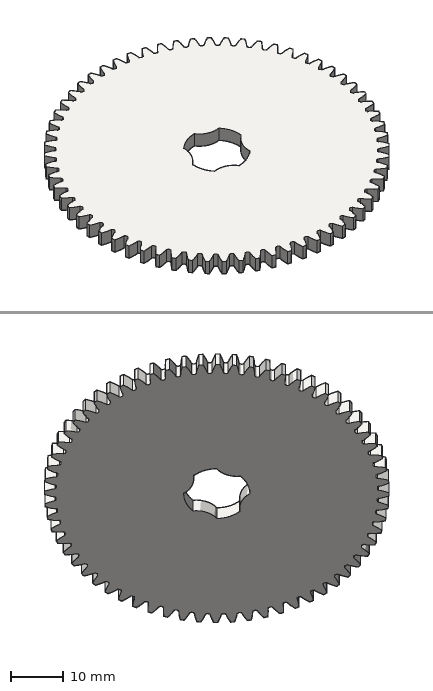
import cadquery as cq
import math

OUTER_DIAMETER = 66.0
THICKNESS = 3.1

TOOTH_COUNT = 64
PRESSURE_ANGLE = math.radians(20)
ADDENDUM_FACTOR = 1.0
DEDENDUM_FACTOR = 1.25
FLANK_DEPTH_FACTOR = 1.0
FLANK_POINTS = 5

MODULE = OUTER_DIAMETER / (TOOTH_COUNT + 2 * ADDENDUM_FACTOR)
TIP_RADIUS = OUTER_DIAMETER / 2
PITCH_RADIUS = MODULE * TOOTH_COUNT / 2
BASE_RADIUS = PITCH_RADIUS * math.cos(PRESSURE_ANGLE)
FLANK_START_RADIUS = PITCH_RADIUS - FLANK_DEPTH_FACTOR * MODULE
ROOT_RADIUS = PITCH_RADIUS - DEDENDUM_FACTOR * MODULE
TOOTH_PITCH = 2 * math.pi / TOOTH_COUNT

BORE_RADIUS = 6.35
LOBE_COUNT = 4
BULGE_TIP_RADIUS = 5.15
BULGE_HALF_ANGLE = math.radians(23)
LOBE_PITCH = 2 * math.pi / LOBE_COUNT


def polar(radius, angle):
    return (radius * math.cos(angle), radius * math.sin(angle))


def involute_angle(radius):
    """Angle swept by the involute between the base circle and the given radius."""
    pressure = math.acos(BASE_RADIUS / radius)
    return math.tan(pressure) - pressure


def tooth_half_angle(radius):
    """Half of the tooth's angular thickness at the given radius."""
    return TOOTH_PITCH / 4 + involute_angle(PITCH_RADIUS) - involute_angle(radius)


def gear_blank():
    """Toothed disc with one tooth centred on +X and rounded roots."""
    step = (TIP_RADIUS - FLANK_START_RADIUS) / (FLANK_POINTS - 1)
    radii = [FLANK_START_RADIUS + i * step for i in range(FLANK_POINTS)]
    start = polar(FLANK_START_RADIUS, -tooth_half_angle(FLANK_START_RADIUS))
    outline = cq.Workplane("XY").moveTo(*start)
    for tooth in range(TOOTH_COUNT):
        centre = tooth * TOOTH_PITCH
        rising = [polar(r, centre - tooth_half_angle(r)) for r in radii]
        falling = [polar(r, centre + tooth_half_angle(r)) for r in reversed(radii)]
        root = polar(ROOT_RADIUS, centre + TOOTH_PITCH / 2)
        next_start = polar(
            FLANK_START_RADIUS,
            centre + TOOTH_PITCH - tooth_half_angle(FLANK_START_RADIUS),
        )
        outline = (
            outline.spline(rising[1:], includeCurrent=True)
            .threePointArc(polar(TIP_RADIUS, centre), falling[0])
            .spline(falling[1:], includeCurrent=True)
            .threePointArc(root, next_start)
        )
    return outline.close().extrude(THICKNESS)


def central_opening():
    """Four inward bulges, centred on the X and Y axes, joined by arcs of the bore circle."""
    outline = cq.Workplane("XY").moveTo(*polar(BORE_RADIUS, -BULGE_HALF_ANGLE))
    for lobe in range(LOBE_COUNT):
        centre = lobe * LOBE_PITCH
        outline = outline.threePointArc(
            polar(BULGE_TIP_RADIUS, centre),
            polar(BORE_RADIUS, centre + BULGE_HALF_ANGLE),
        ).threePointArc(
            polar(BORE_RADIUS, centre + LOBE_PITCH / 2),
            polar(BORE_RADIUS, centre + LOBE_PITCH - BULGE_HALF_ANGLE),
        )
    return outline.close().extrude(THICKNESS)


result = gear_blank().cut(central_opening())